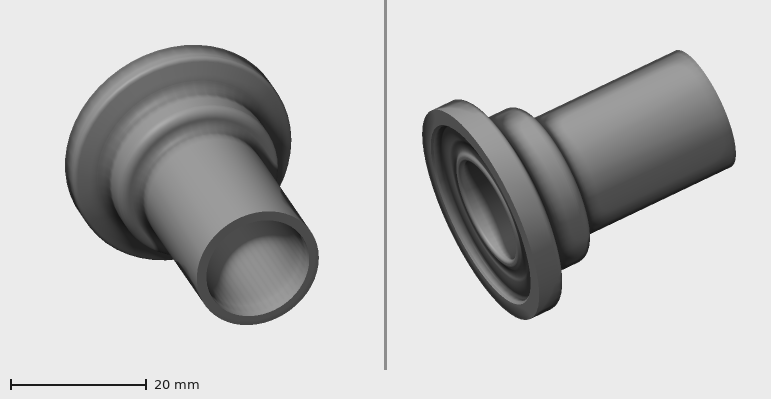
import cadquery as cq
import math

total_length = 38.0
bore_radius = 16.0 / 2
tube_radius = 19.0 / 2
neck_radius = 25.0 / 2
flange_radius = 34.0 / 2

flank_angle = math.radians(20.0)
flank_root_x = 5.2
rim_round = 0.8
neck_fillet = 2.0

step_start_x = 10.4
step_round = 1.6

seat_radius = 28.4 / 2
seat_depth = 1.5
seat_mouth_chamfer = 0.3
seat_floor_fillet = 0.4

bore_round = 0.5
lip_flat_width = 0.25
lip_round = 0.7
groove_radius = 2.0
groove_centre_radius = 10.42
groove_edge_radius = 11.5
groove_edge_round = 1.2

OUTWARD = 0
TOWARDS_TUBE_END = math.pi / 2
INWARD = math.pi
TOWARDS_FACE = -math.pi / 2


def on_circle(centre, radius, angle):
    """Point (x, r) of a circle in the half-section."""
    x, r = centre
    return (x + radius * math.sin(angle), r + radius * math.cos(angle))


def add_arc(outline, centre, radius, start_angle, end_angle):
    """Continue the outline with an arc that begins at its current end."""
    middle = on_circle(centre, radius, (start_angle + end_angle) / 2)
    end = on_circle(centre, radius, end_angle)
    return outline.threePointArc(middle, end)


def add_flange(outline):
    """From the flange rim over the conical back down to the neck."""
    flank_normal = TOWARDS_TUBE_END - flank_angle
    fillet_x = flank_root_x + neck_fillet * math.sin(flank_normal)
    fillet_centre = (fillet_x, neck_radius + neck_fillet)
    flank_root = on_circle(fillet_centre, neck_fillet, INWARD + flank_normal)

    rim_centre_radius = flange_radius - rim_round
    flank_top_radius = rim_centre_radius + rim_round * math.cos(flank_normal)
    flank_top_x = flank_root_x - (flank_top_radius - flank_root[1]) * math.tan(flank_angle)
    rim_centre = (flank_top_x - rim_round * math.sin(flank_normal), rim_centre_radius)

    outline = outline.lineTo(rim_centre[0], flange_radius)
    outline = add_arc(outline, rim_centre, rim_round, OUTWARD, flank_normal)
    outline = outline.lineTo(*flank_root)
    return add_arc(outline, fillet_centre, neck_fillet, INWARD + flank_normal, INWARD)


def add_neck_and_tube(outline):
    """Along the neck, down the rounded step and along the tube to its end."""
    centre_drop = 2 * step_round - (neck_radius - tube_radius)
    step_angle = math.acos(centre_drop / (2 * step_round))
    round_centre = (step_start_x, neck_radius - step_round)
    fillet_x = step_start_x + 2 * step_round * math.sin(step_angle)
    fillet_centre = (fillet_x, tube_radius + step_round)

    outline = outline.lineTo(step_start_x, neck_radius)
    outline = add_arc(outline, round_centre, step_round, OUTWARD, step_angle)
    outline = add_arc(outline, fillet_centre, step_round, INWARD + step_angle, INWARD)
    return outline.lineTo(total_length, tube_radius)


def add_bore_and_groove(outline):
    """Back along the bore, over the lip and through the groove to the seat floor."""
    lip_outer_radius = bore_radius + bore_round + lip_flat_width
    lip_reach = groove_radius + lip_round
    edge_reach = groove_radius + groove_edge_round
    lip_angle = math.asin((groove_centre_radius - lip_outer_radius) / lip_reach)
    edge_angle = math.asin((groove_edge_radius - groove_centre_radius) / edge_reach)

    edge_centre = (seat_depth + groove_edge_round, groove_edge_radius)
    groove_centre = (edge_centre[0] - edge_reach * math.cos(edge_angle), groove_centre_radius)
    lip_centre = (groove_centre[0] + lip_reach * math.cos(lip_angle), lip_outer_radius)
    lip_x = lip_centre[0] - lip_round
    bore_round_centre = (lip_x + bore_round, bore_radius + bore_round)

    outline = outline.lineTo(total_length, bore_radius)
    outline = outline.lineTo(bore_round_centre[0], bore_radius)
    outline = add_arc(outline, bore_round_centre, bore_round, -INWARD, TOWARDS_FACE)
    outline = outline.lineTo(lip_x, lip_outer_radius)
    outline = add_arc(outline, lip_centre, lip_round, TOWARDS_FACE, TOWARDS_FACE + lip_angle)
    groove_start = TOWARDS_TUBE_END + lip_angle
    groove_end = TOWARDS_TUBE_END - edge_angle
    outline = add_arc(outline, groove_centre, groove_radius, groove_start, groove_end)
    edge_start = TOWARDS_FACE - edge_angle
    return add_arc(outline, edge_centre, groove_edge_round, edge_start, TOWARDS_FACE)


def add_seat(outline):
    """From the seat floor up its wall and over the mouth chamfer to the flange face."""
    fillet_centre = (seat_depth - seat_floor_fillet, seat_radius - seat_floor_fillet)
    outline = outline.lineTo(seat_depth, fillet_centre[1])
    outline = add_arc(outline, fillet_centre, seat_floor_fillet, TOWARDS_TUBE_END, OUTWARD)
    outline = outline.lineTo(seat_mouth_chamfer, seat_radius)
    return outline.lineTo(0, seat_radius + seat_mouth_chamfer)


section = cq.Workplane("XY").moveTo(0, flange_radius)
section = add_flange(section)
section = add_neck_and_tube(section)
section = add_bore_and_groove(section)
section = add_seat(section)
section = section.close()

result = section.revolve(360, (0, 0), (1, 0))